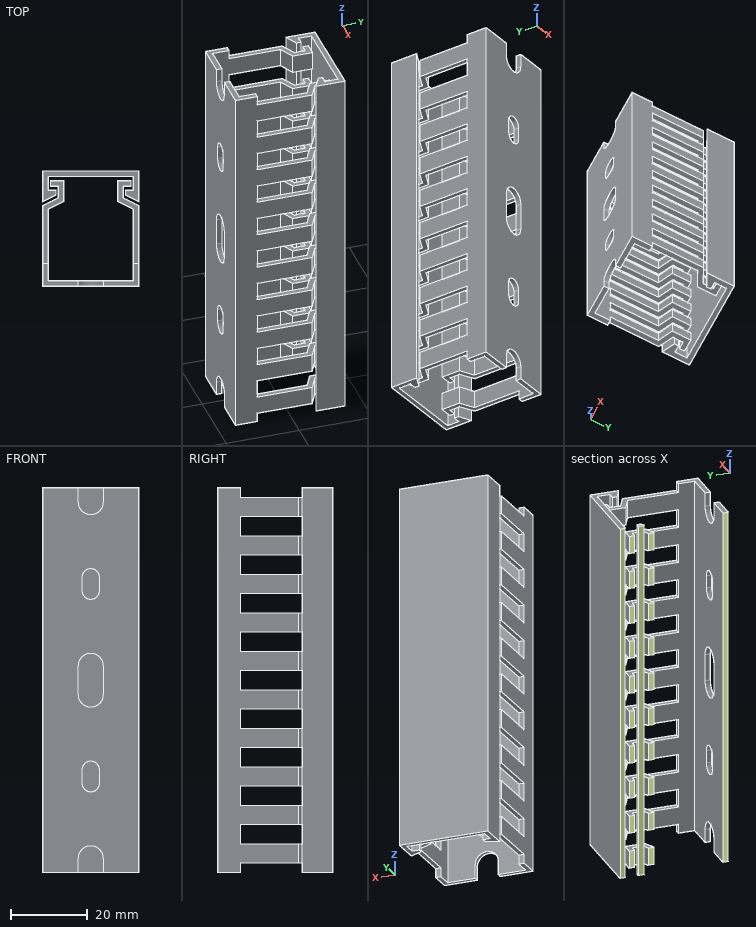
import cadquery as cq
import math

WIDTH = 25.0
DEPTH = 30.0
LENGTH = 100.0
HALF_WIDTH = WIDTH / 2

WALL = 1.5
SIDE_PLAY = 0.5
DEPTH_PLAY = 1.0

SLOPE = 0.5
SLANTED_WALL_DROP = WALL * math.hypot(1, SLOPE)

LIP_INSET = WALL + SIDE_PLAY
STEM_OUTER_INSET = 4.0
STEM_INNER_INSET = STEM_OUTER_INSET + WALL

LIP_TOP = WALL + DEPTH_PLAY
LIP_BOTTOM = LIP_TOP + WALL
SHOULDER_OUTER = 9.0
SHOULDER_INNER = SHOULDER_OUTER + SLANTED_WALL_DROP - SLOPE * WALL
STEM_BEND_OUTER = SHOULDER_OUTER - SLOPE * STEM_OUTER_INSET
STEM_BEND_INNER = SHOULDER_OUTER + SLANTED_WALL_DROP - SLOPE * STEM_INNER_INSET

SKIRT_DEPTH = SHOULDER_OUTER - DEPTH_PLAY
HOOK_TOP = LIP_BOTTOM + DEPTH_PLAY
HOOK_REACH = STEM_OUTER_INSET - SIDE_PLAY
HOOK_TIP_BOTTOM = SKIRT_DEPTH - SLOPE * HOOK_REACH

FINGER_COUNT = 10
FINGER_PITCH = LENGTH / FINGER_COUNT
FINGER_GAP = FINGER_PITCH / 2
FINGER_ROOT_Y = 6.0

LARGE_SLOT_LENGTH = 14.0
LARGE_SLOT_WIDTH = 6.5
SMALL_SLOT_LENGTH = 8.0
SMALL_SLOT_WIDTH = 4.5


def mirrored_profile(half_outline):
    """Extrude the section whose left half is given as (inset from side, drop from cover face)."""
    left = [(inset - HALF_WIDTH, DEPTH - drop) for inset, drop in half_outline]
    right = [(-x, y) for x, y in reversed(left)]
    return cq.Workplane("XY").polyline(left + right).close().extrude(LENGTH)


def finger_gaps():
    """Boxes across the full width that part the side walls into fingers, half a gap at each end."""
    gap_depth = DEPTH - FINGER_ROOT_Y
    gap_heights = [(0, FINGER_PITCH * i) for i in range(FINGER_COUNT + 1)]
    return (
        cq.Workplane("XZ", origin=(0, DEPTH, 0))
        .pushPoints(gap_heights)
        .rect(WIDTH, FINGER_GAP)
        .extrude(gap_depth)
    )


def mounting_slots(length, width, heights):
    """Upright slot cutters through the back wall, centred at the given heights."""
    return (
        cq.Workplane("XZ")
        .pushPoints([(0, z) for z in heights])
        .slot2D(length, width, angle=90)
        .extrude(-WALL)
    )


def make_base():
    """Slotted trunking channel with hooked fingers along both sides."""
    channel = mirrored_profile([
        (WALL, DEPTH - WALL),
        (WALL, SHOULDER_INNER),
        (STEM_INNER_INSET, STEM_BEND_INNER),
        (STEM_INNER_INSET, LIP_TOP),
        (LIP_INSET, LIP_TOP),
        (LIP_INSET, LIP_BOTTOM),
        (STEM_OUTER_INSET, LIP_BOTTOM),
        (STEM_OUTER_INSET, STEM_BEND_OUTER),
        (0, SHOULDER_OUTER),
        (0, DEPTH),
    ])
    large_heights = [0, LENGTH / 2, LENGTH]
    small_heights = [LENGTH / 4, LENGTH * 3 / 4]
    return (
        channel
        .cut(finger_gaps())
        .cut(mounting_slots(LARGE_SLOT_LENGTH, LARGE_SLOT_WIDTH, large_heights))
        .cut(mounting_slots(SMALL_SLOT_LENGTH, SMALL_SLOT_WIDTH, small_heights))
    )


def make_cover():
    """Snap-on cover whose skirt hooks reach under the finger lips."""
    return mirrored_profile([
        (WALL, WALL),
        (WALL, HOOK_TOP),
        (HOOK_REACH, HOOK_TOP),
        (HOOK_REACH, HOOK_TIP_BOTTOM),
        (0, SKIRT_DEPTH),
        (0, 0),
    ])


base = make_base()
cover = make_cover()

result = cq.Compound.makeCompound([base.val(), cover.val()])